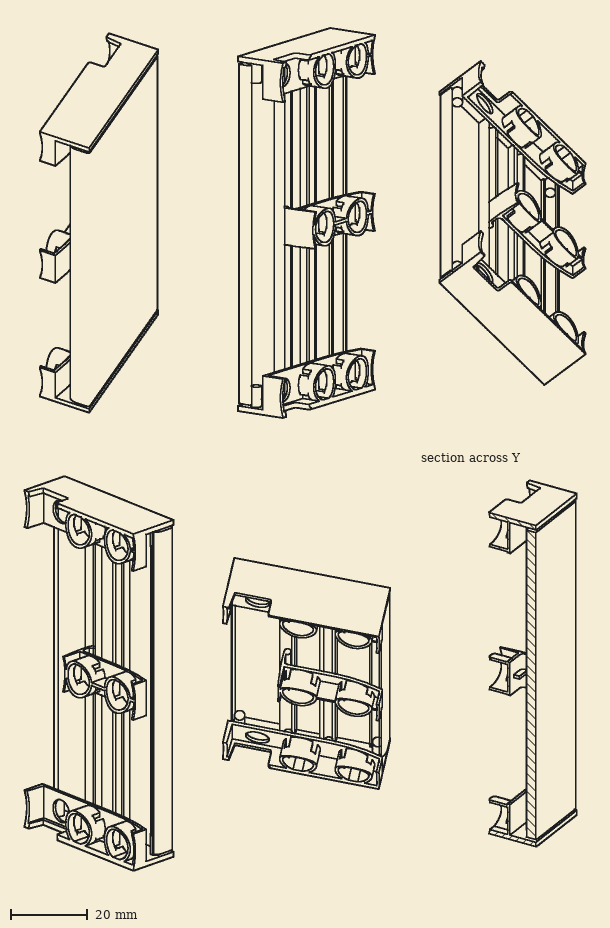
import cadquery as cq
import math

HEIGHT = 94.5
WIDTH = 41.5
BACK = 14.3
MID_HEIGHT = HEIGHT / 2

WEB_BACK = 6.4
WEB_THICKNESS = 0.85
WEB_FRONT = WEB_BACK - WEB_THICKNESS
BEND_START = 27.7
FLANGE_BACK = 4.5
BEND_RUN = WIDTH - BEND_START
BEND_RISE = WEB_BACK - FLANGE_BACK
BEND_RADIUS = (BEND_RUN**2 + BEND_RISE**2) / (2 * BEND_RISE)
BEND_INNER_RADIUS = BEND_RADIUS - WEB_THICKNESS
BEND_CENTRE_X = WEB_BACK - BEND_RADIUS
SIDE_FLANGE = 0.7
HOLLOW_DEPTH = 0.8
HOLLOW_CHORD = 9.8

SOCKET_OUTER = 9.8
SOCKET_BORE = 8.1
SOCKET_WALL_MIDDLE = (SOCKET_OUTER + SOCKET_BORE) / 4
SOCKET_PLACES = (19.8, 34.6)
SLOT_INNER = 2.9
SLOT_OUTER = 4.2
SLOT_FRONT = 2.9
CLIP_RIB = 0.85
CAP_RIB = 0.6

CAP_HEIGHT = 10.4
PLATE = 1.4
SOCKET_LEVEL = 5.3
CAP_FLANGE_TIP = 1.0
CAP_FLANGE_ROOT = 1.3
NOTCH_DEPTH = 4.5
NOTCH_START_TIP = 1.6
NOTCH_START_ROOT = 2.3
NOTCH_END = 12.0
NOTCH_INNER_RADIUS = 0.6
NOTCH_OUTER_RADIUS = 0.8
ACCESS_HOLE = 6.2
ACCESS_PLACE = 8.0
PIN = 2.7
PIN_X = 10.1
PIN_PLACES = (2.4, 39.0)
PIN_TOP = 6.8

CLIP_HEIGHT = SOCKET_OUTER
CLIP_START = 14.2
CLIP_FLANGE = 0.9
CLIP_FLANGE_SETBACK = 0.5
HOOK_STEM = 0.7
HOOK_FILLET = 1.1
BEAD_RADIUS = 0.85
BEAD_X = 10.0
BEAD_PLACE = 15.1
BACK_RIB_X = 8.1
BACK_RIB_END = 18.9

PANEL_GAP = 0.7
WIDE_FLAT = 12.0
NARROW_FLAT = 11.3
BACK_ROUND = 0.7
GROOVE_RADIUS = 1.1
GROOVE_X = 9.9
GROOVE_PLACES = (15.3, 26.1)
RIDGE_TOP = 9.2
RIDGE_BEFORE = 1.1
RIDGE_AFTER = 0.8
LIP_TOP = 10.2
LIP_ROUND = 0.3
LIP_FACE = 0.4
LIP_FOOT = 0.9
LIP_FILLET = 0.85
STEP_TOP = 10.5
STEP_START = 36.9
STEP_END = 37.4
PORT_RADIUS = 1.4
PORT_MOUTH = 0.85
PANEL_FRONT = 8.2
EDGE_FACE_END = 40.35
EDGE_SIDE_X = 10.3


def across(distance):
    """Y of a point at the given distance from the +Y side."""
    return WIDTH / 2 - distance


def at(x, distance):
    """XY point from its X and its distance from the +Y side."""
    return (x, across(distance))


def box(x0, x1, start, end, z0, z1):
    """Box between two X values, two distances from the +Y side and two heights."""
    return (
        cq.Workplane("XY")
        .box(x1 - x0, end - start, z1 - z0, centered=False)
        .translate((x0, across(end), z0))
    )


def rod(diameter, x0, x1, place, level):
    """Cylinder along X."""
    return (
        cq.Workplane("YZ", origin=(x0, across(place), level))
        .circle(diameter / 2)
        .extrude(x1 - x0)
    )


def bent_web(start, tip_start, tip_end, root, height):
    """Web with a flange at each end; past BEND_START it curves forward to the -Y flange.

    The +Y flange spans tip_start to tip_end at its front edge and is `root` thick at the web.
    """
    half_bend = math.asin(BEND_RUN / BEND_RADIUS) / 2

    def bend_middle(radius):
        return at(
            BEND_CENTRE_X + radius * math.cos(half_bend),
            BEND_START + radius * math.sin(half_bend),
        )

    inner_run = BEND_RUN - SIDE_FLANGE
    inner_end = BEND_CENTRE_X + math.sqrt(BEND_INNER_RADIUS**2 - inner_run**2)
    return (
        cq.Workplane("XY")
        .moveTo(*at(0, start + tip_start))
        .lineTo(*at(WEB_FRONT, start))
        .lineTo(*at(WEB_BACK, start))
        .lineTo(*at(WEB_BACK, BEND_START))
        .threePointArc(bend_middle(BEND_RADIUS), at(FLANGE_BACK, WIDTH))
        .lineTo(*at(0, WIDTH))
        .lineTo(*at(0, WIDTH - SIDE_FLANGE))
        .lineTo(*at(inner_end, WIDTH - SIDE_FLANGE))
        .threePointArc(bend_middle(BEND_INNER_RADIUS), at(WEB_FRONT, BEND_START))
        .lineTo(*at(WEB_FRONT, start + root))
        .lineTo(*at(0, start + tip_end))
        .close()
        .extrude(height)
    )


def behind_web(height):
    """Everything behind the front face of the web."""
    bend = (
        cq.Workplane("XY")
        .center(*at(BEND_CENTRE_X, BEND_START))
        .circle(BEND_INNER_RADIUS)
        .extrude(height)
    )
    behind_bend = box(0, BACK, BEND_START, WIDTH, 0, height).cut(bend)
    return behind_bend.union(box(WEB_FRONT, BACK, 0, BEND_START, 0, height))


def sockets(level, height):
    """Two bored rings; next to the web, a vertical slot on each side opens the ring wall."""
    bottom = level - SOCKET_OUTER / 2
    top = level + SOCKET_OUTER / 2
    rings = cq.Workplane("XY")
    for place in SOCKET_PLACES:
        ring = rod(SOCKET_OUTER, 0, WEB_BACK, place, level)
        ring = ring.cut(rod(SOCKET_BORE, 0, WEB_BACK, place, level))
        for slot_start in (place - SLOT_OUTER, place + SLOT_INNER):
            slot_end = slot_start + SLOT_OUTER - SLOT_INNER
            ring = ring.cut(box(SLOT_FRONT, WEB_BACK, slot_start, slot_end, bottom, top))
        rings = rings.add(ring)
    return rings.combine().cut(behind_web(height))


def front_rib(start, end, thickness, level, height):
    """Thin rib on the web at the level of the socket axes."""
    rib = box(0, WEB_BACK, start, end, level - thickness / 2, level + thickness / 2)
    return rib.cut(behind_web(height))


def hollow_front(mount, level):
    """Hollow the front edges with one shallow cylinder along Y."""
    radius = ((HOLLOW_CHORD / 2) ** 2 + HOLLOW_DEPTH**2) / (2 * HOLLOW_DEPTH)
    cutter = (
        cq.Workplane("XZ", origin=(0, WIDTH / 2, 0))
        .center(HOLLOW_DEPTH - radius, level)
        .circle(radius)
        .extrude(WIDTH)
    )
    return mount.cut(cutter)


def cap_plate():
    """Flat plate of an end cap, with a notch in its front edge."""
    plate = box(0, BACK, 0, WIDTH, 0, PLATE)
    notch = (
        cq.Workplane("XY")
        .moveTo(*at(0, NOTCH_START_TIP))
        .lineTo(*at(NOTCH_DEPTH, NOTCH_START_ROOT))
        .lineTo(*at(NOTCH_DEPTH, NOTCH_END - NOTCH_INNER_RADIUS))
        .radiusArc(at(NOTCH_DEPTH - NOTCH_INNER_RADIUS, NOTCH_END), NOTCH_INNER_RADIUS)
        .lineTo(*at(NOTCH_OUTER_RADIUS, NOTCH_END))
        .radiusArc(at(0, NOTCH_END + NOTCH_OUTER_RADIUS), -NOTCH_OUTER_RADIUS)
        .close()
        .extrude(PLATE)
    )
    return plate.cut(notch)


def end_cap(with_rib):
    """Lower end cap, outer face on Z = 0."""
    web = bent_web(0, 0, CAP_FLANGE_TIP, CAP_FLANGE_ROOT, CAP_HEIGHT)
    web = web.cut(rod(ACCESS_HOLE, 0, BACK, ACCESS_PLACE, SOCKET_LEVEL))
    cap = web.union(sockets(SOCKET_LEVEL, CAP_HEIGHT)).union(cap_plate())
    for place in PIN_PLACES:
        cap = cap.union(cq.Workplane("XY").center(*at(PIN_X, place)).circle(PIN / 2).extrude(PIN_TOP))
    if with_rib:
        rib_start = SOCKET_PLACES[1] + SOCKET_WALL_MIDDLE
        cap = cap.union(front_rib(rib_start, WIDTH, CAP_RIB, SOCKET_LEVEL, CAP_HEIGHT))
    return hollow_front(cap, SOCKET_LEVEL).solids()


def clip_hook():
    """Stem with a root fillet, and a bead that sits in the panel's first groove."""
    stem_end = CLIP_START + HOOK_STEM
    stem = (
        cq.Workplane("XY")
        .moveTo(*at(WEB_FRONT, CLIP_START))
        .lineTo(*at(GROOVE_X, CLIP_START))
        .lineTo(*at(GROOVE_X, stem_end))
        .lineTo(*at(WEB_BACK + HOOK_FILLET, stem_end))
        .radiusArc(at(WEB_BACK, stem_end + HOOK_FILLET), -HOOK_FILLET)
        .lineTo(*at(WEB_FRONT, stem_end + HOOK_FILLET))
        .close()
        .extrude(CLIP_HEIGHT)
    )
    bead = cq.Workplane("XY").center(*at(BEAD_X, BEAD_PLACE)).circle(BEAD_RADIUS).extrude(CLIP_HEIGHT)
    return stem.union(bead)


def middle_clip():
    """Clip at mid height, hooked into the panel's first groove."""
    level = CLIP_HEIGHT / 2
    first, second = SOCKET_PLACES
    clip = bent_web(CLIP_START, CLIP_FLANGE_SETBACK, CLIP_FLANGE, CLIP_FLANGE, CLIP_HEIGHT)
    clip = clip.union(sockets(level, CLIP_HEIGHT))
    rib_spans = (
        (first + SOCKET_WALL_MIDDLE, second - SOCKET_WALL_MIDDLE),
        (second + SOCKET_WALL_MIDDLE, WIDTH),
    )
    for start, end in rib_spans:
        clip = clip.union(front_rib(start, end, CLIP_RIB, level, CLIP_HEIGHT))
    clip = hollow_front(clip, level)
    back_rib = box(
        WEB_BACK, BACK_RIB_X, CLIP_START, BACK_RIB_END, level - CLIP_RIB / 2, level + CLIP_RIB / 2
    )
    clip = clip.union(clip_hook()).union(back_rib)
    return clip.translate((0, 0, MID_HEIGHT - level)).solids()


def grooved_ridge(outline, place, foot, rounded):
    """Continue the outline from a flat at X = foot over a ridge with a round groove."""
    ridge_start = place - GROOVE_RADIUS - RIDGE_BEFORE
    groove_start = place - GROOVE_RADIUS
    groove_end = place + GROOVE_RADIUS
    ridge_end = groove_end + RIDGE_AFTER
    outline = outline.lineTo(*at(foot, ridge_start))
    if rounded:
        top_middle = at(RIDGE_TOP, (ridge_start + groove_start) / 2)
        round_base = RIDGE_TOP + RIDGE_BEFORE / 2
        outline = outline.lineTo(*at(round_base, ridge_start))
        outline = outline.threePointArc(top_middle, at(round_base, groove_start))
    else:
        outline = outline.lineTo(*at(RIDGE_TOP, ridge_start)).lineTo(*at(RIDGE_TOP, groove_start))
    return (
        outline.lineTo(*at(GROOVE_X, groove_start))
        .threePointArc(at(GROOVE_X + GROOVE_RADIUS, place), at(GROOVE_X, groove_end))
        .lineTo(*at(RIDGE_TOP, groove_end))
        .lineTo(*at(RIDGE_TOP, ridge_end))
        .lineTo(*at(NARROW_FLAT, ridge_end))
    )


def panel():
    """Extruded back panel between the two cap plates."""
    outline = (
        cq.Workplane("XY")
        .moveTo(*at(BACK, BACK_ROUND))
        .radiusArc(at(BACK - BACK_ROUND, 0), -BACK_ROUND)
        .lineTo(*at(LIP_TOP + LIP_ROUND, 0))
        .radiusArc(at(LIP_TOP, LIP_ROUND), -LIP_ROUND)
        .lineTo(*at(LIP_TOP, LIP_FACE))
        .lineTo(*at(WIDE_FLAT - LIP_FILLET, LIP_FOOT))
        .radiusArc(at(WIDE_FLAT, LIP_FOOT + LIP_FILLET), LIP_FILLET)
    )
    outline = grooved_ridge(outline, GROOVE_PLACES[0], WIDE_FLAT, True)
    outline = grooved_ridge(outline, GROOVE_PLACES[1], NARROW_FLAT, False)
    port = PIN_PLACES[1]
    mouth_depth = math.sqrt(PORT_RADIUS**2 - PORT_MOUTH**2)
    mouth_end = port + PORT_MOUTH
    edge_width = WIDTH - EDGE_FACE_END
    edge_depth = EDGE_SIDE_X - PANEL_FRONT
    edge_radius = (edge_width**2 + edge_depth**2) / (2 * edge_width)
    outline = (
        outline.lineTo(*at(NARROW_FLAT, STEP_START))
        .lineTo(*at(STEP_TOP, STEP_START))
        .lineTo(*at(STEP_TOP, STEP_END))
        .lineTo(*at(PIN_X + PORT_MOUTH, port - mouth_depth))
        .threePointArc(at(PIN_X + PORT_RADIUS, port), at(PIN_X - mouth_depth, mouth_end))
        .lineTo(*at(PANEL_FRONT, mouth_end))
        .lineTo(*at(PANEL_FRONT, EDGE_FACE_END))
        .radiusArc(at(EDGE_SIDE_X, WIDTH), -edge_radius)
        .lineTo(*at(BACK - BACK_ROUND, WIDTH))
        .radiusArc(at(BACK, WIDTH - BACK_ROUND), -BACK_ROUND)
        .close()
    )
    bottom = PLATE + PANEL_GAP
    return outline.extrude(HEIGHT - 2 * bottom).translate((0, 0, bottom))


lower_cap = end_cap(False)
upper_cap = end_cap(True).mirror("XY", (0, 0, MID_HEIGHT))
clip = middle_clip()
back_panel = panel()
result = cq.Compound.makeCompound([lower_cap.val(), upper_cap.val(), clip.val(), back_panel.val()])